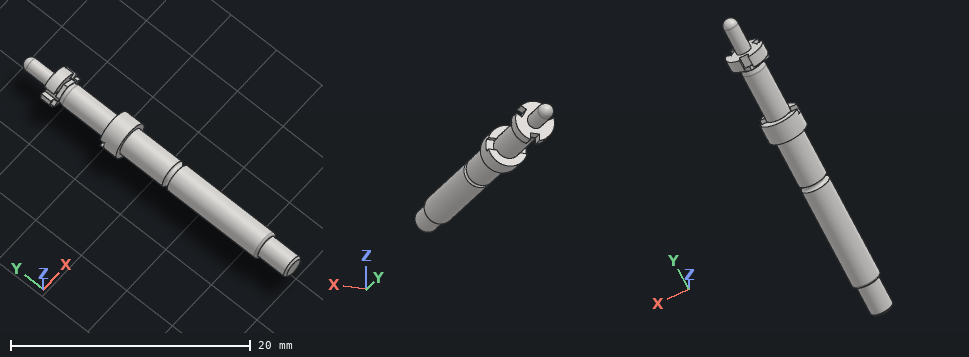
import cadquery as cq
import math

total_length = 29.5
tip_y = total_length / 2

plunger_radius = 0.68
barrel_radius = 1.12
neck_radius = 1.03
collar_radius = 1.8
body_radius = 1.33
tail_radius = 1.05
key_ring_radius = 1.75

key_ring_start = 3.2
key_ring_end = 4.25
wedge_end = 4.65
neck_end = 5.07
collar_start = 9.7
collar_end = 11.53
groove_start = 16.2
groove_width = 0.53
body_end = 26.5

groove_floor_radius = barrel_radius
body_edge_round = 0.2
tail_chamfer = 0.2

key_slot_width = 0.8
key_slot_floor = barrel_radius
key_slot_angles = [30, 150, 270]
wedge_half_width = 1.68
wedge_half_height = barrel_radius

collar_slot_width = 1.0
collar_slot_depth = 0.47


def station(distance):
    """Y coordinate at a distance behind the tip."""
    return tip_y - distance


def cross_section(distance):
    """Workplane across the pin, extruding towards -Y; local x is X and local y is Z."""
    return cq.Workplane("XZ", origin=(0, station(distance), 0))


def turned_pin():
    """Revolved shape of the plunger, barrel, collar, grooved body and tail."""
    dome_middle = plunger_radius * math.sqrt(0.5)
    return (
        cq.Workplane("XY")
        .moveTo(0, station(0))
        .threePointArc(
            (dome_middle, station(plunger_radius - dome_middle)),
            (plunger_radius, station(plunger_radius)),
        )
        .lineTo(plunger_radius, station(wedge_end))
        .lineTo(neck_radius, station(wedge_end))
        .lineTo(barrel_radius, station(neck_end))
        .lineTo(barrel_radius, station(collar_start))
        .lineTo(collar_radius, station(collar_start))
        .lineTo(collar_radius, station(collar_end))
        .lineTo(body_radius, station(collar_end))
        .lineTo(body_radius, station(groove_start))
        .threePointArc(
            (groove_floor_radius, station(groove_start + groove_width / 2)),
            (body_radius, station(groove_start + groove_width)),
        )
        .lineTo(body_radius, station(body_end - body_edge_round))
        .radiusArc((body_radius - body_edge_round, station(body_end)), body_edge_round)
        .lineTo(tail_radius, station(body_end))
        .lineTo(tail_radius, station(total_length - tail_chamfer))
        .lineTo(tail_radius - tail_chamfer, station(total_length))
        .lineTo(0, station(total_length))
        .close()
        .revolve(360, (0, 0, 0), (0, 1, 0))
    )


def keyed_ring():
    """Ring and wedge plate, both cut by three flat-bottomed radial slots."""
    ring = cross_section(key_ring_start).circle(key_ring_radius).extrude(key_ring_end - key_ring_start)
    wedge = (
        cross_section(key_ring_end)
        .polyline([
            (wedge_half_width, 0),
            (0, wedge_half_height),
            (-wedge_half_width, 0),
            (0, -wedge_half_height),
        ])
        .close()
        .extrude(wedge_end - key_ring_end)
    )
    keyed = ring.union(wedge)
    for angle in key_slot_angles:
        slot = (
            cross_section(key_ring_start)
            .transformed(rotate=(0, 0, angle))
            .center((key_slot_floor + key_ring_radius) / 2, 0)
            .rect(key_ring_radius - key_slot_floor, key_slot_width)
            .extrude(wedge_end - key_ring_start)
        )
        keyed = keyed.cut(slot)
    return keyed


def collar_slots():
    """Notches at -X and +X, open to the collar's front face and reaching the barrel surface."""
    bar = (
        cross_section(collar_start)
        .rect(2 * collar_radius, collar_slot_width)
        .extrude(collar_slot_depth)
    )
    barrel_core = cross_section(collar_start).circle(barrel_radius).extrude(collar_slot_depth)
    return bar.cut(barrel_core)


result = turned_pin().cut(collar_slots()).union(keyed_ring())